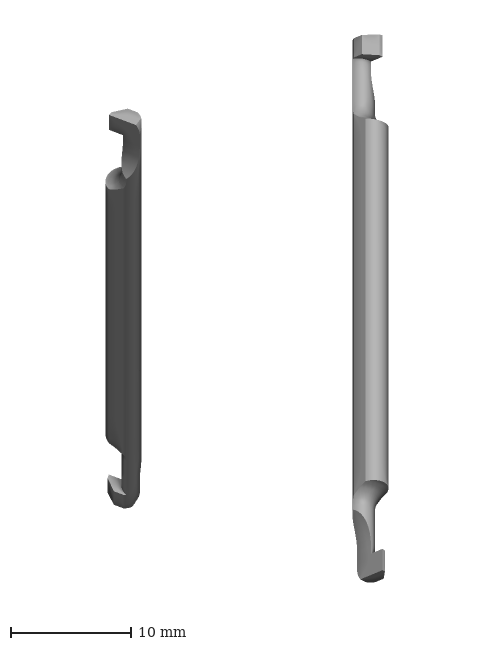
import cadquery as cq
import math

half_length = 25.0

shank_radius = 1.5
flat_half_width = 1.35

neck_center_x = 1.25
neck_radius = 1.3
blend_radius = 1.8
blend_top_z = 18.6

head_bottom_z = 23.0
head_tip_x = -1.35
relief_drop = 0.1
land_width = 0.35
land_back_x = -1.3
clearance_end_x = -0.25

corner_start_x = 1.15
corner_end_z = 23.8
corner_mid = (1.4, 24.5)

flute_run_out_z = 22.2
flute_radius = 4.6

margin = 0.5


def make_shank_stock():
    """Round bar of one half, with its two flats."""
    bar = cq.Workplane("XY").circle(shank_radius).extrude(half_length)
    flats = cq.Workplane("XY").rect(4 * shank_radius, 2 * flat_half_width).extrude(half_length)
    return bar.intersect(flats)


def make_neck_envelope():
    """Revolved stem about the neck axis: wide below, narrow above, with a concave blend."""
    outer_radius = neck_radius + blend_radius
    blend_bottom_z = blend_top_z - blend_radius
    diagonal = blend_radius * math.sqrt(0.5)
    return (
        cq.Workplane("XZ")
        .moveTo(0, 0)
        .lineTo(outer_radius, 0)
        .lineTo(outer_radius, blend_bottom_z)
        .threePointArc(
            (outer_radius - diagonal, blend_top_z - diagonal),
            (neck_radius, blend_top_z),
        )
        .lineTo(neck_radius, half_length)
        .lineTo(0, half_length)
        .close()
        .revolve(360, (0, 0, 0), (0, 1, 0))
        .translate((neck_center_x, 0, 0))
    )


def make_head_envelope():
    """Head plan with its side land and clearance face, trimmed by the relieved ends."""
    plan = (
        cq.Workplane("XY", origin=(0, 0, head_bottom_z))
        .moveTo(head_tip_x, 0)
        .lineTo(shank_radius, 0)
        .lineTo(shank_radius, flat_half_width)
        .lineTo(clearance_end_x, flat_half_width)
        .lineTo(land_back_x, land_width)
        .close()
        .extrude(half_length - head_bottom_z)
    )
    side = (
        cq.Workplane("YZ")
        .polyline([
            (0, head_bottom_z),
            (0, half_length),
            (flat_half_width, half_length - relief_drop),
            (flat_half_width, head_bottom_z + relief_drop),
        ])
        .close()
        .extrude(shank_radius, both=True)
    )
    return plan.intersect(side)


def make_flute_cutter():
    """Space in front of the cutting face, ending in the run-out arc."""
    front_y = -shank_radius - margin
    angle = math.acos((flute_radius + front_y) / flute_radius)

    def arc_point(turn):
        return (
            flute_radius * (math.cos(turn) - 1),
            flute_run_out_z - flute_radius * math.sin(turn),
        )

    return (
        cq.Workplane("YZ")
        .moveTo(0, half_length + margin)
        .lineTo(0, flute_run_out_z)
        .threePointArc(arc_point(angle / 2), arc_point(angle))
        .lineTo(front_y, half_length + margin)
        .close()
        .extrude(shank_radius + margin, both=True)
    )


def make_corner_cutter():
    """Waste outside the rounded outer corner of the head."""
    return (
        cq.Workplane("XZ")
        .moveTo(corner_start_x, half_length)
        .threePointArc(corner_mid, (shank_radius, corner_end_z))
        .lineTo(shank_radius + margin, corner_end_z)
        .lineTo(shank_radius + margin, half_length + margin)
        .lineTo(corner_start_x, half_length + margin)
        .close()
        .extrude(shank_radius + margin, both=True)
    )


def make_end_relief_cutter():
    """Wedge above the sloped end face of the head."""
    return (
        cq.Workplane("YZ")
        .polyline([
            (0, half_length),
            (flat_half_width, half_length - relief_drop),
            (flat_half_width, half_length),
        ])
        .close()
        .extrude(shank_radius + margin, both=True)
    )


def make_bar_half():
    stock = make_shank_stock()
    stem = stock.intersect(make_neck_envelope())
    head = stock.intersect(make_head_envelope())
    return (
        stem.union(head)
        .cut(make_flute_cutter())
        .cut(make_corner_cutter())
        .cut(make_end_relief_cutter())
    )


def make_full_bar():
    """Upper half joined to the same half turned about X."""
    upper = make_bar_half()
    lower = upper.rotate((0, 0, 0), (1, 0, 0), 180)
    return upper.union(lower).clean()


def make_tip_zone():
    """Block that holds everything below the joint plane of the lower tip."""
    size = 4 * shank_radius
    return (
        cq.Workplane("XY", origin=(0, 0, -head_bottom_z))
        .rect(size, size)
        .extrude(head_bottom_z - half_length - margin)
    )


full_bar = make_full_bar()
tip_zone = make_tip_zone()

bar_body = full_bar.cut(tip_zone)
lower_tip = full_bar.intersect(tip_zone)

result = cq.Compound.makeCompound([*bar_body.solids().vals(), *lower_tip.solids().vals()])